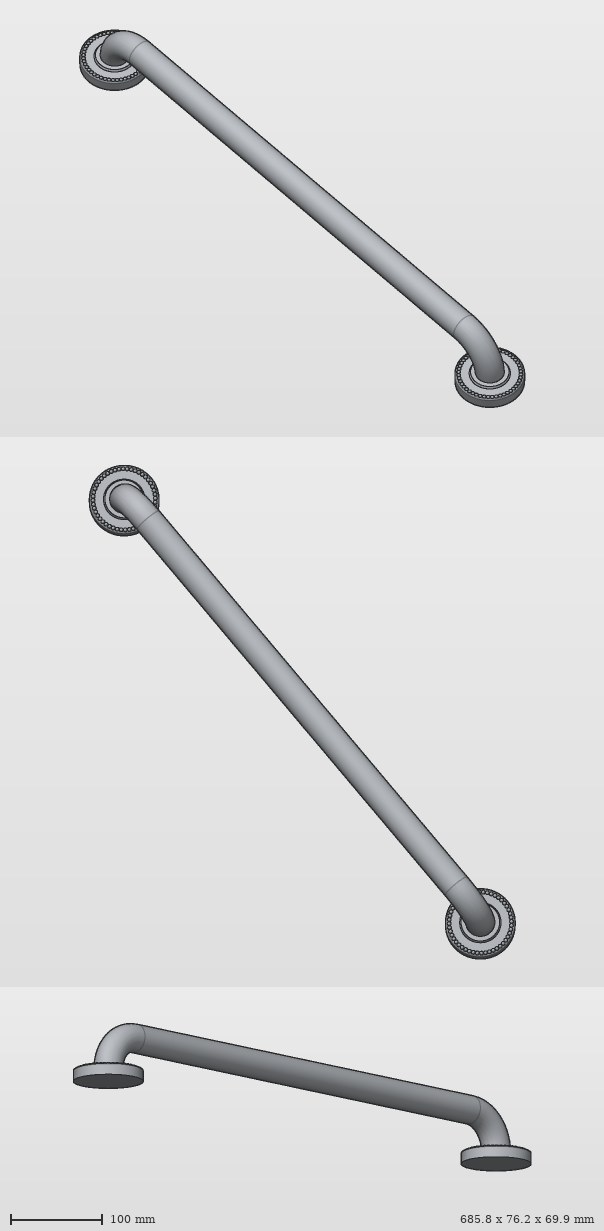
import cadquery as cq
import math

mount_spacing = 609.6
overall_height = 69.85
tube_diameter = 31.75
bend_radius = 41.275
flange_diameter = 76.2
flange_height = 12.7
rim_fillet = 1.1
bead_count = 48
bead_circle_diameter = 68.0
bead_radius = 2.3
bead_projection = 1.4
collar_bottom_diameter = 45.0
collar_top_diameter = 42.0
collar_projection = 2.3

tube_radius = tube_diameter / 2
mount_x = mount_spacing / 2
axis_height = overall_height - tube_radius
bend_start_height = axis_height - bend_radius
straight_end_x = mount_x - bend_radius
bead_center_height = flange_height + bead_projection - bead_radius
collar_height = flange_height + collar_projection


def make_bar():
    """Round bar: a straight run with a quarter bend down to a short leg at each end."""
    bend_mid = bend_radius * math.sqrt(0.5)
    path = (
        cq.Workplane("XZ")
        .moveTo(-mount_x, 0)
        .lineTo(-mount_x, bend_start_height)
        .threePointArc(
            (-straight_end_x - bend_mid, bend_start_height + bend_mid),
            (-straight_end_x, axis_height),
        )
        .lineTo(straight_end_x, axis_height)
        .threePointArc(
            (straight_end_x + bend_mid, bend_start_height + bend_mid),
            (mount_x, bend_start_height),
        )
        .lineTo(mount_x, 0)
    )
    return cq.Workplane("XY").center(-mount_x, 0).circle(tube_radius).sweep(path)


def make_flange_body():
    """Round wall flange with a rounded rim and a low tapered collar, centered on the Z axis."""
    flange_radius = flange_diameter / 2
    profile = (
        cq.Workplane("XZ")
        .lineTo(flange_radius, 0)
        .lineTo(flange_radius, flange_height - rim_fillet)
        .radiusArc((flange_radius - rim_fillet, flange_height), -rim_fillet)
        .lineTo(collar_bottom_diameter / 2, flange_height)
        .lineTo(collar_top_diameter / 2, collar_height)
        .lineTo(0, collar_height)
        .close()
    )
    return profile.revolve(360, (0, 0, 0), (0, 1, 0))


def make_beads():
    """Ring of partly sunk balls that decorates the flange face just inside the rim."""
    bead = cq.Workplane("XY").sphere(bead_radius).val()
    circle_radius = bead_circle_diameter / 2
    beads = []
    for index in range(bead_count):
        angle = 2 * math.pi * index / bead_count
        center = (
            circle_radius * math.cos(angle),
            circle_radius * math.sin(angle),
            bead_center_height,
        )
        beads.append(bead.translate(cq.Vector(*center)))
    return beads


def make_flange():
    """Flange body with its ring of beads fused on."""
    return cq.Workplane(make_flange_body().val().fuse(*make_beads()))


flange = make_flange()
grab_bar = make_bar()
for side in (-1, 1):
    grab_bar = grab_bar.union(flange.translate((side * mount_x, 0, 0)))

result = grab_bar.solids()